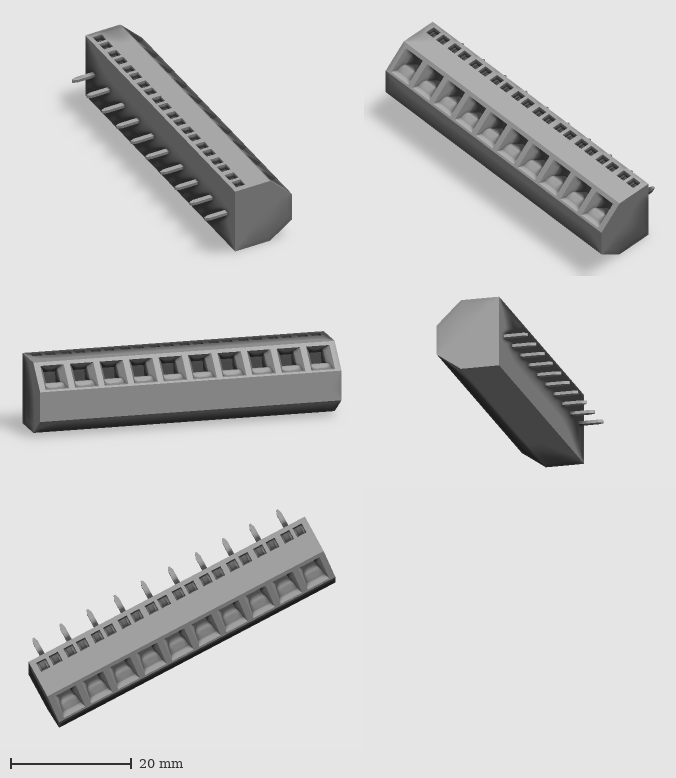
import cadquery as cq
import math

LENGTH = 51.8
DEPTH = 10.7
HEIGHT = 12.0
BEVEL_DEPTH = 4.15
TOP_BEVEL_DROP = 4.05
BOTTOM_BEVEL_RISE = 2.9

POLE_COUNT = 10
POLE_PITCH = 5.1
FIRST_POLE_X = (LENGTH - (POLE_COUNT - 1) * POLE_PITCH) / 2

PIN_LENGTH = 4.1
PIN_WIDTH = 0.9
PIN_THICKNESS = 0.5
PIN_TIP_LENGTH = 0.8
PIN_TIP_WIDTH = 0.3

ENTRY_WIDTH = 4.05
ENTRY_FRONT_Y = 7.1
ENTRY_REAR_Y = 10.45
WIRE_WIDTH = 2.5
FUNNEL_DEPTH = 1.55
LEDGE_DEPTH = 1.0
RAMP_ANGLE = 26.0
RAMP_RUN = 1.05
LIP_LENGTH = 0.6
LIP_DROP = 0.05
WIRE_ANGLE = 35.0
WIRE_HOLE_LENGTH = 3.1

SLOT_SIZE = 1.7
SLOT_OFFSET = (ENTRY_WIDTH - SLOT_SIZE) / 2
SLOT_FRONT_Y = 0.8
SLOT_DEPTH = 1.05
WELL_WIDTH = 1.05
WELL_LENGTH = 1.45
WELL_STEP_LENGTH = 0.3
WELL_STEP_DEPTH = 0.15
WELL_RAMP_ANGLE = 19.0


def bevel_height(y):
    """Height of the top bevel at depth y."""
    return HEIGHT - (y - (DEPTH - BEVEL_DEPTH)) * TOP_BEVEL_DROP / BEVEL_DEPTH


def housing():
    outline = [
        (0, 0),
        (DEPTH - BEVEL_DEPTH, 0),
        (DEPTH, BOTTOM_BEVEL_RISE),
        (DEPTH, HEIGHT - TOP_BEVEL_DROP),
        (DEPTH - BEVEL_DEPTH, HEIGHT),
        (0, HEIGHT),
    ]
    return cq.Workplane("YZ").polyline(outline).close().extrude(LENGTH)


def pin():
    """Flat pin with a tapered tip, centred on x = 0."""
    outline = [
        (-PIN_WIDTH / 2, 0),
        (-PIN_WIDTH / 2, PIN_TIP_LENGTH - PIN_LENGTH),
        (-PIN_TIP_WIDTH / 2, -PIN_LENGTH),
        (PIN_TIP_WIDTH / 2, -PIN_LENGTH),
        (PIN_WIDTH / 2, PIN_TIP_LENGTH - PIN_LENGTH),
        (PIN_WIDTH / 2, 0),
    ]
    middle = cq.Workplane("XY", origin=(0, 0, HEIGHT / 2))
    return middle.polyline(outline).close().extrude(PIN_THICKNESS / 2, both=True)


def entry_side_profile():
    """Side outline of a wire entry: ledge, ramp over a rounded lip, sloping wire hole."""
    ramp = math.radians(RAMP_ANGLE)
    slope = math.radians(WIRE_ANGLE)
    wire_y = -WIRE_HOLE_LENGTH * math.cos(slope)
    wire_z = -WIRE_HOLE_LENGTH * math.sin(slope)
    rear_z = bevel_height(ENTRY_REAR_Y)
    front_z = bevel_height(ENTRY_FRONT_Y)
    ramp_start = (ENTRY_REAR_Y - LEDGE_DEPTH, rear_z)
    ramp_end = (ramp_start[0] - RAMP_RUN, rear_z + RAMP_RUN * math.tan(ramp))
    lip_end = (ramp_end[0] - LIP_LENGTH, ramp_end[1] - LIP_DROP)
    tangents = [(-math.cos(ramp), math.sin(ramp)), (wire_y, wire_z)]
    profile = (
        cq.Workplane("YZ", origin=(-ENTRY_WIDTH / 2, 0, 0))
        .moveTo(ENTRY_REAR_Y, rear_z)
        .lineTo(*ramp_start)
        .spline([ramp_end, lip_end], tangents=tangents, includeCurrent=True)
        .lineTo(lip_end[0] + wire_y, lip_end[1] + wire_z)
        .lineTo(ENTRY_FRONT_Y + wire_y, front_z + wire_z)
        .lineTo(ENTRY_FRONT_Y, front_z)
        .close()
    )
    return profile.extrude(ENTRY_WIDTH)


def entry_funnel():
    """Prism along the bevel that narrows from the opening to the wire width, then runs straight."""
    along_bevel = (0, -BEVEL_DEPTH, TOP_BEVEL_DROP)
    origin = (0, ENTRY_REAR_Y, bevel_height(ENTRY_REAR_Y))
    half_section = [
        (ENTRY_WIDTH / 2, 0),
        (WIRE_WIDTH / 2, -FUNNEL_DEPTH),
        (WIRE_WIDTH / 2, -DEPTH),
    ]
    section = half_section + [(-x, depth) for x, depth in reversed(half_section)]
    plane = cq.Plane(origin=origin, xDir=(1, 0, 0), normal=along_bevel)
    return cq.Workplane(plane).polyline(section).close().extrude(DEPTH, both=True)


def wire_entry():
    return entry_side_profile().intersect(entry_funnel())


def test_slot():
    """Square slot with a ramped well in its floor, centred on x = 0."""
    floor_z = HEIGHT - SLOT_DEPTH
    opening = cq.Workplane("XY").box(SLOT_SIZE, SLOT_SIZE, SLOT_DEPTH, centered=(True, False, False))
    opening = opening.translate((0, SLOT_FRONT_Y, floor_z))
    step_z = floor_z - WELL_STEP_DEPTH
    ramp_y = SLOT_FRONT_Y + WELL_STEP_LENGTH
    rear_y = SLOT_FRONT_Y + WELL_LENGTH
    rear_z = step_z - (rear_y - ramp_y) * math.tan(math.radians(WELL_RAMP_ANGLE))
    outline = [
        (SLOT_FRONT_Y, floor_z),
        (SLOT_FRONT_Y, step_z),
        (ramp_y, step_z),
        (rear_y, rear_z),
        (rear_y, floor_z),
    ]
    well = cq.Workplane("YZ").polyline(outline).close().extrude(WELL_WIDTH / 2, both=True)
    return opening.union(well)


result = housing()
for pole in range(POLE_COUNT):
    pole_x = FIRST_POLE_X + pole * POLE_PITCH
    result = result.union(pin().translate((pole_x, 0, 0)))
    result = result.cut(wire_entry().translate((pole_x, 0, 0)))
    for offset in (-SLOT_OFFSET, SLOT_OFFSET):
        result = result.cut(test_slot().translate((pole_x + offset, 0, 0)))